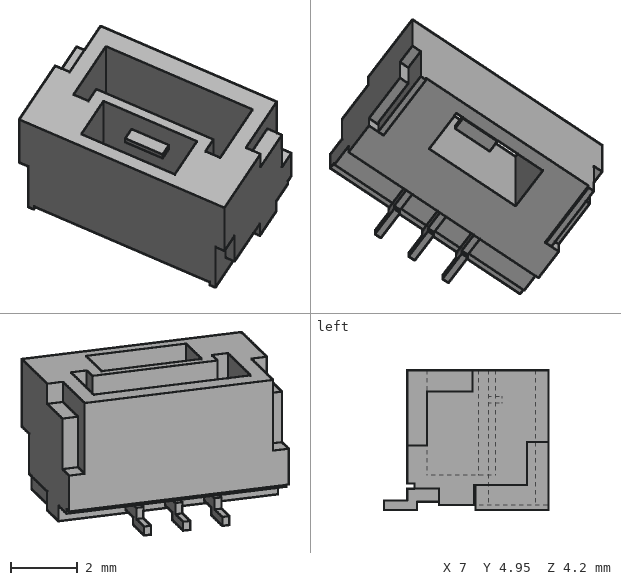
import cadquery as cq


WIDTH = 7.0
HEIGHT = 4.2
BODY_DEPTH = 4.25
STANDOFF = 0.15

REAR_NOTCH_FRONT = 3.3
REAR_NOTCH_TOP = 0.645
REAR_STEP_DEPTH = 0.22
REAR_STEP_TOP = 0.79

UPPER_RECESS_WIDTH = 0.5
UPPER_RECESS_LENGTH = 1.96
UPPER_RECESS_DROP = 0.645
UPPER_LEG_DEPTH = 0.6
UPPER_LEG_BOTTOM = 1.94

LOWER_RECESS_WIDTH = 0.31
LOWER_RECESS_LENGTH = 2.25
LOWER_RECESS_TOP = 0.75
LOWER_LEG_DEPTH = 0.645
LOWER_LEG_TOP = 2.04
CLIP_CLEARANCE = 0.05
CLIP_THICKNESS = 0.195

CAVITY_WIDTH = 5.0
CAVITY_FRONT = 1.595
CAVITY_REAR = 3.65
CAVITY_FLOOR = 1.05
TONGUE_WIDTH = 3.99
TONGUE_REAR = 2.1

SLOT_WIDTH = 3.185
SLOT_FRONT = 0.4
SLOT_REAR = 1.805
LATCH_WIDTH = 1.275
LATCH_FRONT = 1.41
LATCH_TOP = 3.4
LATCH_HEIGHT = 0.19

PIN_COUNT = 3
PIN_PITCH = 1.245
PIN_WIDTH = 0.225
PIN_REAR = 4.95
PIN_FOOT_FRONT = 3.95
PIN_FOOT_TOP = 0.29
PIN_SHANK_BOTTOM = 0.245


def block(x_range, y_range, z_range):
    """Box spanning the given (low, high) ranges."""
    spans = [high - low for low, high in (x_range, y_range, z_range)]
    corner = (x_range[0], y_range[0], z_range[0])
    return cq.Workplane("XY").box(*spans, centered=False).translate(corner)


def centred_block(width, y_range, z_range):
    return block((-width / 2, width / 2), y_range, z_range)


def side_profile(points, x_start, width):
    """Extrude a (Y, Z) outline along +X from x_start."""
    return cq.Workplane("YZ", origin=(x_start, 0, 0)).polyline(points).close().extrude(width)


def housing_block():
    step_front = BODY_DEPTH - REAR_STEP_DEPTH
    outline = [
        (0, STANDOFF),
        (REAR_NOTCH_FRONT, STANDOFF),
        (REAR_NOTCH_FRONT, REAR_NOTCH_TOP),
        (step_front, REAR_NOTCH_TOP),
        (step_front, REAR_STEP_TOP),
        (BODY_DEPTH, REAR_STEP_TOP),
        (BODY_DEPTH, HEIGHT),
        (0, HEIGHT),
    ]
    return side_profile(outline, -WIDTH / 2, WIDTH)


def upper_recess():
    """Recess on the -X side."""
    leg_front = BODY_DEPTH - UPPER_LEG_DEPTH
    recess_front = BODY_DEPTH - UPPER_RECESS_LENGTH
    shelf = HEIGHT - UPPER_RECESS_DROP
    outline = [
        (BODY_DEPTH, HEIGHT),
        (recess_front, HEIGHT),
        (recess_front, shelf),
        (leg_front, shelf),
        (leg_front, UPPER_LEG_BOTTOM),
        (BODY_DEPTH, UPPER_LEG_BOTTOM),
    ]
    return side_profile(outline, -WIDTH / 2, UPPER_RECESS_WIDTH)


def lower_l_shape(length, x_start, width):
    outline = [
        (0, 0),
        (length, 0),
        (length, LOWER_RECESS_TOP),
        (LOWER_LEG_DEPTH, LOWER_RECESS_TOP),
        (LOWER_LEG_DEPTH, LOWER_LEG_TOP),
        (0, LOWER_LEG_TOP),
    ]
    return side_profile(outline, x_start, width)


def mating_cavity():
    z_range = (CAVITY_FLOOR, HEIGHT)
    pocket = centred_block(CAVITY_WIDTH, (CAVITY_FRONT, CAVITY_REAR), z_range)
    tongue = centred_block(TONGUE_WIDTH, (CAVITY_FRONT, TONGUE_REAR), z_range)
    return pocket.cut(tongue)


def pin(x_centre):
    outline = [
        (PIN_REAR, 0),
        (PIN_FOOT_FRONT, 0),
        (PIN_FOOT_FRONT, PIN_SHANK_BOTTOM),
        (REAR_NOTCH_FRONT, PIN_SHANK_BOTTOM),
        (REAR_NOTCH_FRONT, REAR_NOTCH_TOP),
        (BODY_DEPTH, REAR_NOTCH_TOP),
        (BODY_DEPTH, PIN_FOOT_TOP),
        (PIN_REAR, PIN_FOOT_TOP),
    ]
    return side_profile(outline, x_centre - PIN_WIDTH / 2, PIN_WIDTH)


slot = centred_block(SLOT_WIDTH, (SLOT_FRONT, SLOT_REAR), (STANDOFF, HEIGHT))
latch = centred_block(LATCH_WIDTH, (LATCH_FRONT, SLOT_REAR), (LATCH_TOP - LATCH_HEIGHT, LATCH_TOP))
result = housing_block().cut(mating_cavity()).cut(slot).union(latch)

clip_x = -WIDTH / 2 + LOWER_RECESS_WIDTH
recesses = [
    upper_recess(),
    lower_l_shape(LOWER_RECESS_LENGTH, -WIDTH / 2, LOWER_RECESS_WIDTH + CLIP_THICKNESS),
]
for recess in recesses:
    result = result.cut(recess).cut(recess.mirror("YZ"))
clip = lower_l_shape(LOWER_RECESS_LENGTH - CLIP_CLEARANCE, clip_x, CLIP_THICKNESS)
result = result.union(clip).union(clip.mirror("YZ"))

for index in range(PIN_COUNT):
    result = result.union(pin((index - (PIN_COUNT - 1) / 2) * PIN_PITCH))